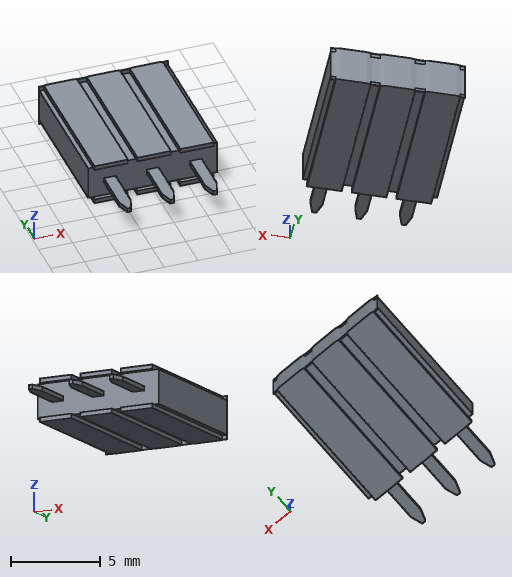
import cadquery as cq

POSITIONS = 3
PITCH = 2.54
TOTAL_LENGTH = 11.5
HEIGHT = 2.5

PIN_LENGTH = 3.25
PIN_WIDTH = 0.7
PIN_THICKNESS = 0.25
TIP_WIDTH = 0.23
TIP_LENGTH = 0.7

RIB_WIDTH = 1.98
RIB_HEIGHT = 0.25
RIB_OVERHANG = 0.26
REAR_WALL_THICKNESS = 0.05
PAD_RISE = 0.05
PAD_BASE_WIDTH = 2.1
PAD_CREST_WIDTH = 1.53

ROW_WIDTH = POSITIONS * PITCH
CORE_HEIGHT = HEIGHT - 2 * RIB_HEIGHT
REAR_CREST_Y = TOTAL_LENGTH - PIN_LENGTH
REAR_VALLEY_Y = REAR_CREST_Y - PAD_RISE
REAR_WALL_Y = REAR_VALLEY_Y - REAR_WALL_THICKNESS
POSITION_CENTERS = [(i - (POSITIONS - 1) / 2) * PITCH for i in range(POSITIONS)]


def box_between(x_center, width, y_front, y_rear, z_bottom, height):
    """Box centred on x_center that spans the given Y and Z ranges."""
    return (
        cq.Workplane("XY", origin=(x_center, (y_front + y_rear) / 2, z_bottom))
        .box(width, y_rear - y_front, height, centered=(True, True, False))
    )


def make_rear_wall():
    """Full-height rear wall with one shallow, bevelled pad per position on its outer face."""
    outline = [(-ROW_WIDTH / 2, REAR_WALL_Y), (-ROW_WIDTH / 2, REAR_VALLEY_Y)]
    for x in POSITION_CENTERS:
        outline += [
            (x - PAD_BASE_WIDTH / 2, REAR_VALLEY_Y),
            (x - PAD_CREST_WIDTH / 2, REAR_CREST_Y),
            (x + PAD_CREST_WIDTH / 2, REAR_CREST_Y),
            (x + PAD_BASE_WIDTH / 2, REAR_VALLEY_Y),
        ]
    outline += [(ROW_WIDTH / 2, REAR_VALLEY_Y), (ROW_WIDTH / 2, REAR_WALL_Y)]
    return (
        cq.Workplane("XY", origin=(0, 0, -HEIGHT / 2))
        .polyline(outline)
        .close()
        .extrude(HEIGHT)
    )


def make_housing():
    """Core block and rear wall, with a rib above and below every position."""
    core = box_between(0, ROW_WIDTH, 0, REAR_WALL_Y, -CORE_HEIGHT / 2, CORE_HEIGHT)
    housing = core.union(make_rear_wall())
    for x in POSITION_CENTERS:
        for z_bottom in (-HEIGHT / 2, CORE_HEIGHT / 2):
            rib = box_between(x, RIB_WIDTH, -RIB_OVERHANG, REAR_WALL_Y, z_bottom, RIB_HEIGHT)
            housing = housing.union(rib)
    return housing


def make_pin(x_center):
    """Flat pin standing on the housing front face, narrowing to a blunt tip."""
    shoulder_y = TIP_LENGTH - PIN_LENGTH
    outline = [
        (-PIN_WIDTH / 2, 0),
        (-PIN_WIDTH / 2, shoulder_y),
        (-TIP_WIDTH / 2, -PIN_LENGTH),
        (TIP_WIDTH / 2, -PIN_LENGTH),
        (PIN_WIDTH / 2, shoulder_y),
        (PIN_WIDTH / 2, 0),
    ]
    return (
        cq.Workplane("XY", origin=(x_center, 0, -PIN_THICKNESS / 2))
        .polyline(outline)
        .close()
        .extrude(PIN_THICKNESS)
    )


housing = make_housing()
pins = [make_pin(x) for x in POSITION_CENTERS]

result = cq.Compound.makeCompound([housing.val(), *[pin.val() for pin in pins]])